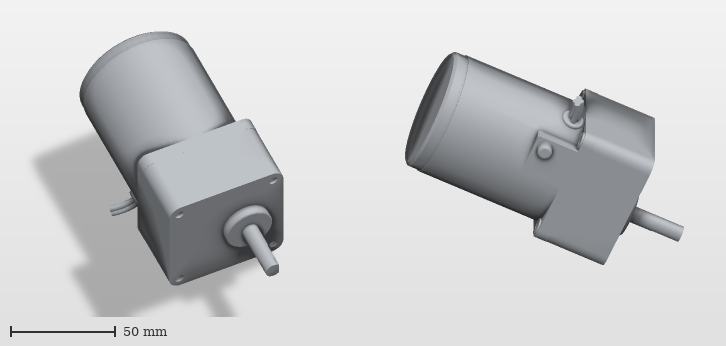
import cadquery as cq
import math

square_size = 60.0
cap_length = 6.8
motor_length = 75.0
flange_thickness = 6.3
gearbox_length = 30.0
pilot_length = 5.0
shaft_length = 27.0

flange_rear_x = motor_length - flange_thickness
gearbox_front_x = motor_length + gearbox_length
pilot_front_x = gearbox_front_x + pilot_length

body_radius = square_size / 2
cap_radius = 29.5
cap_chamfer_radial = 1.5
cap_chamfer_axial = 1.35
flange_corner_radius = 5.5

hole_spacing = 49.5
hole_diameter = 4.5
pad_diameter = 8.3
pad_height = 0.8

block_rear_x = 48.1
block_width = 20.7
block_edge_chamfer = 0.7
foot_x = 53.6
foot_y = -15.5
foot_radius = 3.5
foot_height = 4.92
foot_root_radius = 0.6
foot_end_radius = 1.5

outlet_x = 62.9
outlet_angle = 22.5
grommet_radius = 5.5
grommet_face_distance = 31.0
grommet_edge_radius = 0.95
cable_bend_radius = 27.2
cable_bend_angle = 26.0
strand_radius = 1.4
strand_offset_axial = 1.3
strand_offset_across = 2.1

gearbox_corner_radius = 6.0
output_offset_y = 10.0
pilot_radius = 12.0
pilot_chamfer = 0.5
shaft_radius = 4.0
flat_depth = 1.0
flat_length = 15.0
flat_runout_radius = 4.0


def cylinder_x(radius, start_x, length, y=0.0):
    """Cylinder along +X whose rear face sits at start_x."""
    return cq.Workplane("YZ", origin=(start_x, y, 0)).circle(radius).extrude(length)


def square_block(start_x, length, corner_radius):
    """Square block centred on the X axis, rounded on its four long edges."""
    block = cq.Workplane("YZ", origin=(start_x, 0, 0)).rect(square_size, square_size).extrude(length)
    return block.edges("|X").fillet(corner_radius)


def at_mounting_holes(diameter, start_x, length):
    """Four cylinders along X on the mounting hole pattern."""
    plane = cq.Workplane("YZ", origin=(start_x, 0, 0))
    pattern = plane.rect(hole_spacing, hole_spacing, forConstruction=True)
    return pattern.vertices().circle(diameter / 2).extrude(length)


def make_terminal_block():
    """Block filling the lower corner beside the round housing, with a foot under it."""
    block_length = flange_rear_x - block_rear_x
    block = cq.Workplane("XY").box(block_length, block_width, body_radius, centered=False)
    block = block.translate((block_rear_x, -block_width, -body_radius))
    block = block.edges("|Z and <X and <Y").chamfer(block_edge_chamfer)

    foot = (
        cq.Workplane("XY", origin=(foot_x, foot_y, -body_radius))
        .circle(foot_radius)
        .extrude(-foot_height)
        .faces("<Z")
        .edges()
        .fillet(foot_end_radius)
    )
    flare = (
        cq.Workplane("XZ", origin=(foot_x, foot_y, -body_radius))
        .lineTo(foot_radius + foot_root_radius, 0)
        .radiusArc((foot_radius, -foot_root_radius), -foot_root_radius)
        .lineTo(0, -foot_root_radius)
        .close()
        .revolve(360, (0, 0, 0), (0, 1, 0))
    )
    return block.union(foot).union(flare)


def make_cable():
    """Grommet and bent four-strand cable, built along +Z and then turned into place."""
    grommet = (
        cq.Workplane("XY")
        .circle(grommet_radius)
        .extrude(grommet_face_distance)
        .faces(">Z")
        .edges()
        .fillet(grommet_edge_radius)
    )

    bend = math.radians(cable_bend_angle)
    half_bend = bend / 2
    bend_middle = (
        -cable_bend_radius * (1 - math.cos(half_bend)),
        grommet_face_distance + cable_bend_radius * math.sin(half_bend),
    )
    bend_end = (
        -cable_bend_radius * (1 - math.cos(bend)),
        grommet_face_distance + cable_bend_radius * math.sin(bend),
    )
    path = (
        cq.Workplane("XZ")
        .moveTo(0, grommet_face_distance / 2)
        .lineTo(0, grommet_face_distance)
        .threePointArc(bend_middle, bend_end)
    )

    strand_centres = [
        (strand_offset_axial, 0),
        (0, strand_offset_across),
        (-strand_offset_axial, 0),
        (0, -strand_offset_across),
    ]
    section = cq.Sketch().polygon(strand_centres + strand_centres[:1])
    section = section.push(strand_centres).circle(strand_radius).reset().clean()
    cable = cq.Workplane("XY", origin=(0, 0, grommet_face_distance / 2)).placeSketch(section).sweep(path)

    outlet = grommet.union(cable)
    outlet = outlet.rotate((0, 0, 0), (1, 0, 0), 90 + outlet_angle)
    return outlet.translate((outlet_x, 0, 0))


def make_motor():
    cap = cylinder_x(cap_radius, 0, cap_length).faces("<X").chamfer(cap_chamfer_axial, cap_chamfer_radial)
    housing = cylinder_x(body_radius, cap_length, flange_rear_x - cap_length)
    flange = square_block(flange_rear_x, flange_thickness, flange_corner_radius)
    pads = at_mounting_holes(pad_diameter, flange_rear_x - pad_height, pad_height)
    holes = at_mounting_holes(hole_diameter, flange_rear_x - pad_height, flange_thickness + pad_height)
    motor = cap.union(housing).union(flange).union(make_terminal_block()).union(make_cable())
    return motor.union(pads).cut(holes)


def make_shaft():
    """Output shaft with a flat on its +Y side that runs out in an arc."""
    shaft = cylinder_x(shaft_radius, pilot_front_x, shaft_length, output_offset_y)
    shaft_end_x = pilot_front_x + shaft_length
    flat_y = output_offset_y + shaft_radius - flat_depth
    top_y = output_offset_y + shaft_radius
    runout_x = shaft_end_x - flat_length
    runout_length = math.sqrt(flat_runout_radius**2 - (flat_runout_radius - flat_depth)**2)
    flat_cut = (
        cq.Workplane("XY", origin=(0, 0, -shaft_radius))
        .moveTo(runout_x, top_y)
        .radiusArc((runout_x + runout_length, flat_y), -flat_runout_radius)
        .lineTo(shaft_end_x, flat_y)
        .lineTo(shaft_end_x, top_y)
        .close()
        .extrude(2 * shaft_radius)
    )
    return shaft.cut(flat_cut)


def make_gearhead():
    gearbox = square_block(motor_length, gearbox_length, gearbox_corner_radius)
    gearbox = gearbox.cut(at_mounting_holes(hole_diameter, motor_length, gearbox_length))
    pilot = cylinder_x(pilot_radius, gearbox_front_x, pilot_length, output_offset_y)
    pilot = pilot.faces(">X").edges().chamfer(pilot_chamfer)
    return gearbox.union(pilot).union(make_shaft())


motor = make_motor()
gearhead = make_gearhead()

result = cq.Compound.makeCompound([motor.val(), gearhead.val()])